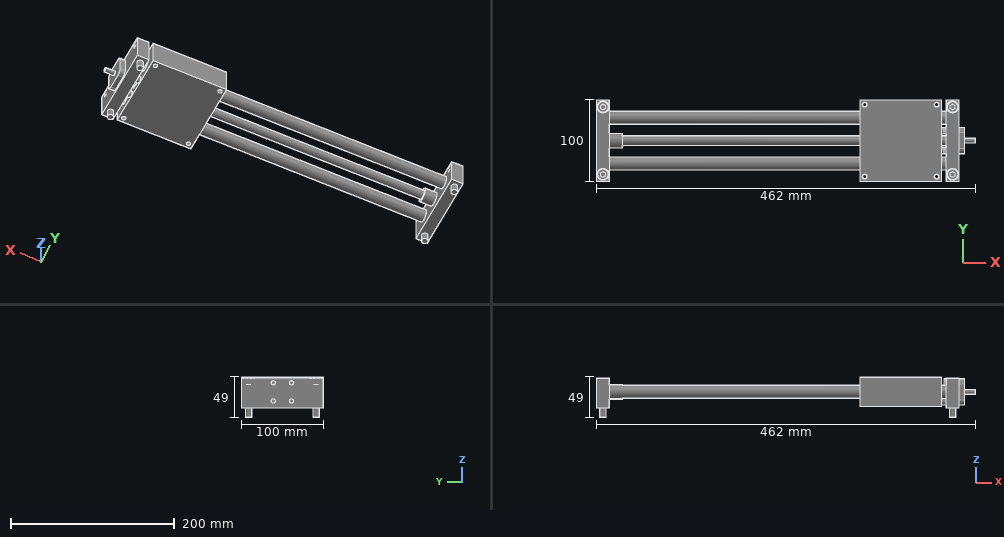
import cadquery as cq


total_length = 462
width = 100.0
total_height = 49.0

carriage_start_x = 321.0
carriage_length = 100.0
carriage_height = 36.0
carriage_end_x = carriage_start_x + carriage_length
corner_hole_diameter = 5.0
corner_hole_mouth_diameter = 6.0
corner_hole_mouth_depth = 1.0
corner_hole_inset = 6.0
screw_clearance_diameter = 16.0

plate_thickness = 15.5
plate_height = 36.5
plate_drop = 1.5
plate_top_z = carriage_height / 2 - plate_drop
plate_bottom_z = plate_top_z - plate_height
right_plate_x = 426.5
right_plate_end_x = right_plate_x + plate_thickness

mount_spacing = 82.2
mount_diameter = 8.0
mount_protrusion = total_height - (carriage_height / 2 - plate_bottom_z)
counterbore_diameter = 14.5
counterbore_depth = 7.5
head_diameter = 13.0
socket_across_corners = 7.0
socket_depth = 4.0

rod_diameter = 16.0
rod_spacing = 56.0
lead_screw_diameter = 12.0
collar_diameter = 18.0
collar_end_x = 31.5
shaft_diameter = 6.0

face_hole_diameter = 5.0
face_hole_spacing = 22.0
face_hole_depth = 10.0

flange_width = 32.5
flange_thickness = 7.0
flange_corner_radius = 6.5
bolt_spacing = 24.0
bolt_head_diameter = 8.5
upper_bolt_head_height = 3.0
lower_bolt_head_height = right_plate_x - carriage_end_x


def bar(diameter, start_x, end_x):
    """Round bar along X on the drive axis."""
    return cq.Workplane("YZ", origin=(start_x, 0, 0)).circle(diameter / 2).extrude(end_x - start_x)


def guide_rods(start_x, end_x):
    """The two parallel guide rods."""
    centres = cq.Workplane("YZ", origin=(start_x, 0, 0)).pushPoints(
        [(-rod_spacing / 2, 0), (rod_spacing / 2, 0)]
    )
    return centres.circle(rod_diameter / 2).extrude(end_x - start_x)


def end_plate(start_x):
    """End plate with its two mounting screws sunk in counterbores."""
    centre_x = start_x + plate_thickness / 2
    screw_places = [(-mount_spacing / 2, 0), (mount_spacing / 2, 0)]
    block = cq.Workplane("XY", origin=(centre_x, 0, plate_bottom_z)).box(
        plate_thickness, width, plate_height, centered=(True, True, False)
    )
    top_plane = cq.Plane(origin=(centre_x, 0, plate_top_z), xDir=(0, 1, 0), normal=(0, 0, 1))
    bottom_plane = cq.Plane(origin=(centre_x, 0, plate_bottom_z), xDir=(0, 1, 0), normal=(0, 0, 1))
    top = cq.Workplane(top_plane).pushPoints(screw_places)
    bottom = cq.Workplane(bottom_plane).pushPoints(screw_places)

    counterbores = top.circle(counterbore_diameter / 2).extrude(-counterbore_depth)
    heads = top.circle(head_diameter / 2).extrude(-counterbore_depth)
    sockets = top.polygon(6, socket_across_corners).extrude(-socket_depth)
    shanks = bottom.circle(mount_diameter / 2).extrude(-mount_protrusion)
    return block.cut(counterbores).union(heads).cut(sockets).union(shanks)


def face_holes():
    """Square pattern of blind holes in the outer face of the left plate."""
    centres = cq.Workplane("YZ").rect(face_hole_spacing, face_hole_spacing, forConstruction=True).vertices()
    return centres.circle(face_hole_diameter / 2).extrude(face_hole_depth)


def bearing_flange():
    """Square flange with rounded corners on the outer face of the right plate."""
    block = cq.Workplane("YZ", origin=(right_plate_end_x, 0, 0)).rect(flange_width, flange_width)
    return block.extrude(flange_thickness).edges("|X").fillet(flange_corner_radius)


def bolt_head_pair(z, height):
    """Two flange bolt heads standing out from the inner face of the right plate."""
    heads = cq.Workplane("YZ", origin=(right_plate_x, 0, z)).pushPoints(
        [(-bolt_spacing / 2, 0), (bolt_spacing / 2, 0)]
    )
    return heads.circle(bolt_head_diameter / 2).extrude(-height)


def build_frame():
    """Fixed frame: end plates, guide rods, lead screw, flange and drive shaft."""
    frame = end_plate(0).cut(face_holes()).union(end_plate(right_plate_x))
    frame = frame.union(guide_rods(plate_thickness, right_plate_x))
    frame = frame.union(bar(lead_screw_diameter, plate_thickness, right_plate_x))
    frame = frame.union(bar(collar_diameter, plate_thickness, collar_end_x))
    frame = frame.union(bolt_head_pair(bolt_spacing / 2, upper_bolt_head_height))
    frame = frame.union(bolt_head_pair(-bolt_spacing / 2, lower_bolt_head_height))
    frame = frame.union(bearing_flange())
    return frame.union(bar(shaft_diameter, right_plate_end_x, total_length))


def build_carriage():
    """Sliding carriage, bored for the guide rods and with clearance around the lead screw."""
    block = cq.Workplane("XY", origin=(carriage_start_x + carriage_length / 2, 0, 0)).box(
        carriage_length, width, carriage_height
    )
    corners = block.faces(">Z").workplane(centerOption="CenterOfBoundBox").rect(
        carriage_length - 2 * corner_hole_inset, width - 2 * corner_hole_inset, forConstruction=True
    )
    drilled = corners.vertices().cboreHole(
        corner_hole_diameter, corner_hole_mouth_diameter, corner_hole_mouth_depth
    )
    bored = drilled.cut(bar(screw_clearance_diameter, carriage_start_x, carriage_end_x))
    return bored.cut(guide_rods(carriage_start_x, carriage_end_x))


frame = build_frame()
carriage = build_carriage()
result = cq.Compound.makeCompound([frame.solids().val(), carriage.solids().val()])